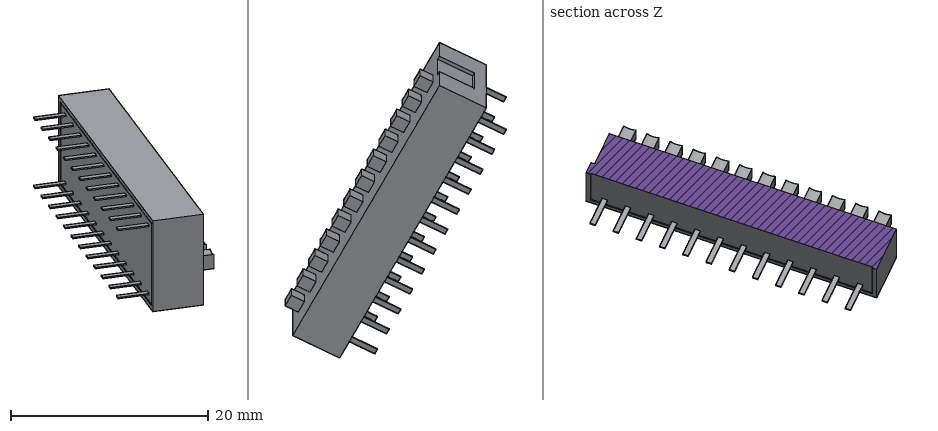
import cadquery as cq
import math

length = 31.84
height = 10.16
depth = 5.4

rim_width = 0.5
rim_depth = 0.1

pole_count = 12
pitch = 2.54
pole_offset = 0.08

row_spacing = 7.62
pin_width = 0.6
pin_thickness = 0.15
pin_length = 3.2

notch_height = 3.6
notch_length = 4.0
notch_depth = 0.38

knob_width = 1.35
knob_height = 1.6
knob_length = 1.5
knob_hollow_radius = 1.5
knob_gap = 0.05

knob_bottom = knob_gap - notch_height / 2
knob_top = knob_bottom + knob_height
hollow_depth = knob_hollow_radius - math.sqrt(knob_hollow_radius**2 - (knob_width / 2) ** 2)

pole_positions = [pole_offset + (i - (pole_count - 1) / 2) * pitch for i in range(pole_count)]
row_positions = (-row_spacing / 2, row_spacing / 2)


def box_between(x_range, y_range, z_range):
    """Box given by its lower and upper limits along each axis."""
    low, high = zip(x_range, y_range, z_range)
    sizes = [upper - lower for lower, upper in zip(low, high)]
    return cq.Workplane("XY").box(*sizes, centered=False).translate(low)


def make_housing():
    """Block with a shallow rimmed pin side and a notched -X end."""
    half_length = length / 2
    half_height = height / 2
    block = box_between((-half_length, half_length), (0, depth), (-half_height, half_height))
    recess = box_between(
        (rim_width - half_length, half_length - rim_width),
        (0, rim_depth),
        (rim_width - half_height, half_height - rim_width),
    )
    notch = box_between(
        (-half_length, notch_depth - half_length),
        (depth - notch_length, depth),
        (-notch_height / 2, notch_height / 2),
    )
    return block.cut(recess).cut(notch)


def make_pin(x, z):
    """Flat pin standing on the floor of the rimmed recess."""
    return box_between(
        (x - pin_width / 2, x + pin_width / 2),
        (-pin_length, rim_depth),
        (z - pin_thickness / 2, z + pin_thickness / 2),
    )


def make_knob(x):
    """Knob on the switch side, its top hollowed by an arc across its width."""
    half_width = knob_width / 2
    profile = (
        cq.Workplane("XZ", origin=(x, depth, 0))
        .moveTo(-half_width, knob_bottom)
        .lineTo(half_width, knob_bottom)
        .lineTo(half_width, knob_top)
        .threePointArc((0, knob_top - hollow_depth), (-half_width, knob_top))
        .close()
    )
    return profile.extrude(-knob_length)


result = make_housing()
for pole_x in pole_positions:
    result = result.union(make_knob(pole_x))
    for row_z in row_positions:
        result = result.union(make_pin(pole_x, row_z))